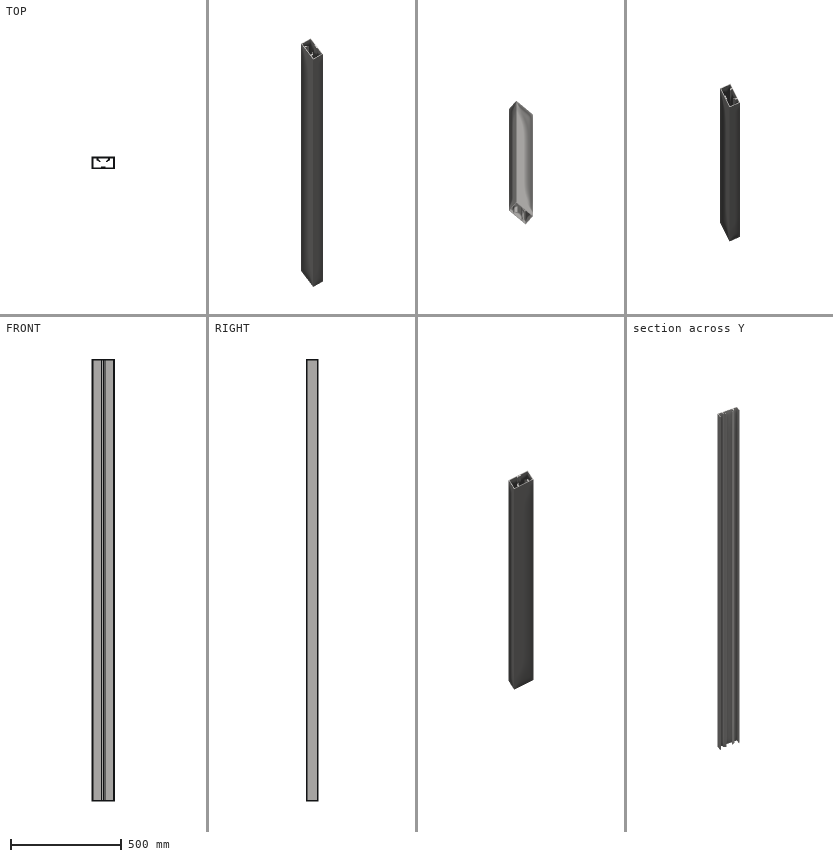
import cadquery as cq

length = 2000.0
width = 100.0
depth = 52.0
wall = 3.0

rib_width = 18.0
rib_height = 5.0
notch_width = 5.0
skin_under_notch = 1.0

opening_width = 55.0
lip_depth = 10.0
lip_thickness = 2.0

leg_thickness = 5.0
leg_depth = 10.0
tip_reach = 10.0
tip_thickness = 2.0
tip_drop = 5.0

front = -depth / 2
back = depth / 2
inner_front = front + wall
inner_back = back - wall
opening_half = opening_width / 2


def bar(x_min, x_max, y_min, y_max):
    """Full-length rectangular bar standing on Z = 0."""
    return (
        cq.Workplane("XY")
        .box(x_max - x_min, y_max - y_min, length, centered=False)
        .translate((x_min, y_min, 0))
    )


def make_base():
    """Channel with a notched, ribbed front wall and a lipped opening at the back."""
    inner_half = width / 2 - wall
    channel = bar(-width / 2, width / 2, front, back)
    channel = channel.cut(bar(-inner_half, inner_half, inner_front, inner_back))
    channel = channel.cut(bar(-opening_half, opening_half, inner_back, back))

    rib_top = inner_front + rib_height
    rib = bar(-rib_width / 2, rib_width / 2, inner_front, rib_top)
    notch = (
        cq.Workplane("XY")
        .polyline([
            (-notch_width / 2, rib_top),
            (0, front + skin_under_notch),
            (notch_width / 2, rib_top),
        ])
        .close()
        .extrude(length)
    )
    lip = bar(-opening_half - lip_thickness, -opening_half, inner_back - lip_depth, inner_back)
    return channel.union(rib).cut(notch).union(lip).union(lip.mirror("YZ"))


def make_cover():
    """Strip filling the opening, with a leg against each lip."""
    strip = bar(-opening_half, opening_half, inner_back, back)
    leg_inner = leg_thickness - opening_half
    leg_end = inner_back - leg_depth
    tip_end = leg_end - tip_drop
    leg = (
        cq.Workplane("XY")
        .polyline([
            (-opening_half, inner_back),
            (-opening_half, leg_end),
            (-opening_half + tip_reach, tip_end),
            (-opening_half + tip_reach + tip_thickness, tip_end),
            (leg_inner, leg_end),
            (leg_inner, inner_back),
        ])
        .close()
        .extrude(length)
    )
    return strip.union(leg).union(leg.mirror("YZ"))


base = make_base()
cover = make_cover()
result = cq.Compound.makeCompound([base.val(), cover.val()])